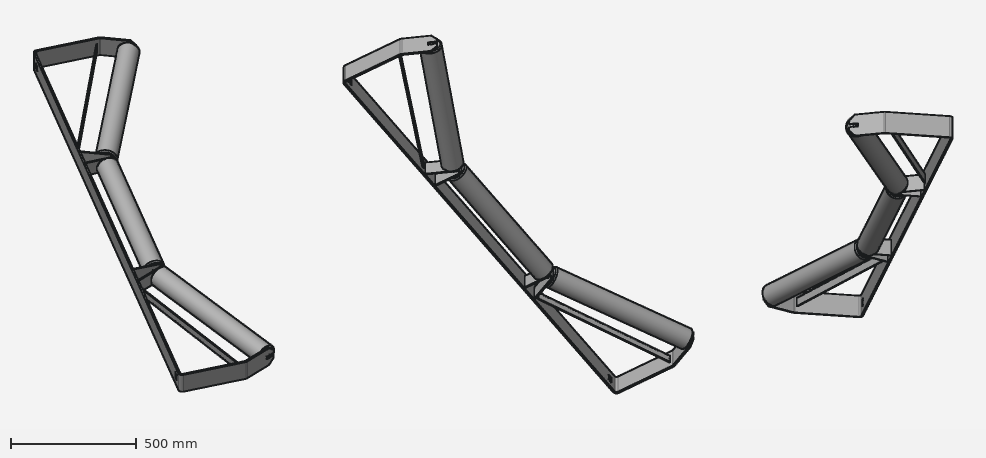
import cadquery as cq
import math

frame_length = 2000.0
strap_thickness = 8.0
strap_height = 90.0
bend_radius = 15.0
upright_height = 278.0
incline_length = 145.0
tip_chamfer = 25.0
base_hole_width = 20.0
base_hole_height = 25.0
base_hole_inset = 50.0

roller_diameter = 90.0
roller_length = 645.0
roller_chamfer = 5.0
shaft_diameter = 20.0
shaft_flat = 15.0
end_gap = 2.0
tilt = 25.0
centre_axis_y = 102.0
wing_axis_rise = 118.0

bracket_thickness = 5.0
bracket_height = 65.0
bracket_drop = 5.0
bracket_top = 130.0

brace_thickness = 5.0
brace_height = 35.0
brace_low_x = 415.0
brace_high_y = 265.0

half_length = frame_length / 2
sin_tilt = math.sin(math.radians(tilt))
cos_tilt = math.cos(math.radians(tilt))
tan_tilt = sin_tilt / cos_tilt
inner_x = half_length - strap_thickness
support_reach = roller_length / 2 + end_gap
wing_sag = math.degrees(math.asin(bracket_drop / (2 * support_reach)))

wing_offset = strap_thickness + support_reach
wing_x = half_length - wing_axis_rise * sin_tilt - wing_offset * cos_tilt
wing_y = upright_height + wing_axis_rise * cos_tilt - wing_offset * sin_tilt


def plate(points, height):
    """Flat plate with an outline in XY, centred on Z = 0."""
    return cq.Workplane("XY").polyline(points).close().extrude(height).translate((0, 0, -height / 2))


def mirror_x(body):
    return body.mirror("YZ")


def place_on_wing(body):
    """Move a body from a roller's own position at the origin to the right-hand wing."""
    return body.rotate((0, 0, 0), (0, 0, 1), tilt).translate((wing_x, wing_y, 0))


def lean_inwards(body):
    """Pivot a wing body at its outer support so that its inner end meets the lower bracket."""
    pivot = (support_reach, 0, 0)
    return body.rotate(pivot, (support_reach, 1, 0), -wing_sag)


def place_in_centre(body):
    return body.translate((0, centre_axis_y, -bracket_drop))


def make_shaft(outer_support):
    """Shaft along X with two flats, reaching through a bracket at -X and an outer support at +X."""
    reach_in = support_reach + bracket_thickness
    reach_out = support_reach + outer_support
    bar = cq.Workplane("YZ").workplane(offset=-reach_in).circle(shaft_diameter / 2)
    bar = bar.extrude(reach_in + reach_out)
    flats = cq.Workplane("XY").box(frame_length, shaft_diameter, shaft_flat)
    return bar.intersect(flats)


def make_roller(outer_support):
    """Roller along X with chamfered ends, in one piece with its shaft."""
    shell = cq.Workplane("YZ").workplane(offset=-roller_length / 2)
    shell = shell.circle(roller_diameter / 2).extrude(roller_length)
    shell = shell.faces("<X or >X").chamfer(roller_chamfer)
    return shell.union(make_shaft(outer_support))


def make_frame_half():
    """Right half of the strap, with its base hole and the open slot for the wing shaft."""
    tip_x = half_length - incline_length * sin_tilt
    tip_y = upright_height + incline_length * cos_tilt
    inner_bend_y = upright_height - strap_thickness * math.tan(math.radians(tilt / 2))
    half = plate(
        [
            (0, 0),
            (half_length, 0),
            (half_length, upright_height),
            (tip_x, tip_y),
            (tip_x - strap_thickness * cos_tilt, tip_y - strap_thickness * sin_tilt),
            (inner_x, inner_bend_y),
            (inner_x, strap_thickness),
            (0, strap_thickness),
        ],
        strap_height,
    )
    inner_radius = bend_radius - strap_thickness
    bends = [
        (half_length, 0, bend_radius),
        (half_length, upright_height, bend_radius),
        (inner_x, strap_thickness, inner_radius),
        (inner_x, inner_bend_y, inner_radius),
    ]
    for x, y, radius in bends:
        half = half.edges(cq.NearestToPointSelector((x, y, 0))).fillet(radius)
    for side in (-1, 1):
        point = (tip_x - strap_thickness * cos_tilt / 2, tip_y - strap_thickness * sin_tilt / 2,
                 side * strap_height / 2)
        half = half.edges(cq.NearestToPointSelector(point)).chamfer(tip_chamfer)

    hole = cq.Workplane("XY").box(base_hole_width, 2 * strap_thickness, base_hole_height)
    half = half.cut(hole.translate((half_length - base_hole_inset, strap_thickness / 2, 0)))

    half = half.cut(place_on_wing(lean_inwards(make_shaft(strap_thickness))))
    slot_length = incline_length - wing_axis_rise
    slot = cq.Workplane("XY").box(2 * strap_thickness, slot_length, shaft_flat)
    slot = slot.translate((support_reach + strap_thickness / 2, slot_length / 2, 0))
    return half.cut(place_on_wing(slot))


def make_bracket():
    """Right-hand bracket: an upright leg, a short bridge and a leg square to the wing roller."""
    top = bracket_top
    under = bracket_top - bracket_thickness
    foot = strap_thickness
    leg_x = support_reach
    leg_back_x = leg_x + bracket_thickness

    def wing_leg_x(y, depth):
        """X on the inclined leg at a height, the given depth behind its roller-side face."""
        reach = support_reach + depth
        return wing_x - reach / cos_tilt + (wing_y - y) * tan_tilt

    bracket = plate(
        [
            (leg_x, foot),
            (leg_x, top),
            (wing_leg_x(top, 0), top),
            (wing_leg_x(foot, 0), foot),
            (wing_leg_x(foot, bracket_thickness), foot),
            (wing_leg_x(under, bracket_thickness), under),
            (leg_back_x, under),
            (leg_back_x, foot),
        ],
        bracket_height,
    ).translate((0, 0, -bracket_drop))
    bracket = bracket.cut(place_in_centre(make_shaft(bracket_thickness)))
    return bracket.cut(place_on_wing(lean_inwards(make_shaft(strap_thickness))))


def make_brace():
    """Right-hand diagonal from the base up to the upright."""
    slope = math.atan2(brace_high_y - strap_thickness, inner_x - brace_low_x)
    return plate(
        [
            (brace_low_x, strap_thickness),
            (brace_low_x + brace_thickness / math.sin(slope), strap_thickness),
            (inner_x, brace_high_y - brace_thickness / math.cos(slope)),
            (inner_x, brace_high_y),
        ],
        brace_height,
    )


frame_half = make_frame_half()
frame = frame_half.union(mirror_x(frame_half))
centre_roller = place_in_centre(make_roller(bracket_thickness))
wing_roller = place_on_wing(lean_inwards(make_roller(strap_thickness)))
bodies = [frame.val(), centre_roller.val()]

for right_body in (wing_roller, make_bracket(), make_brace()):
    bodies.append(right_body.val())
    bodies.append(mirror_x(right_body).val())

result = cq.Compound.makeCompound(bodies)